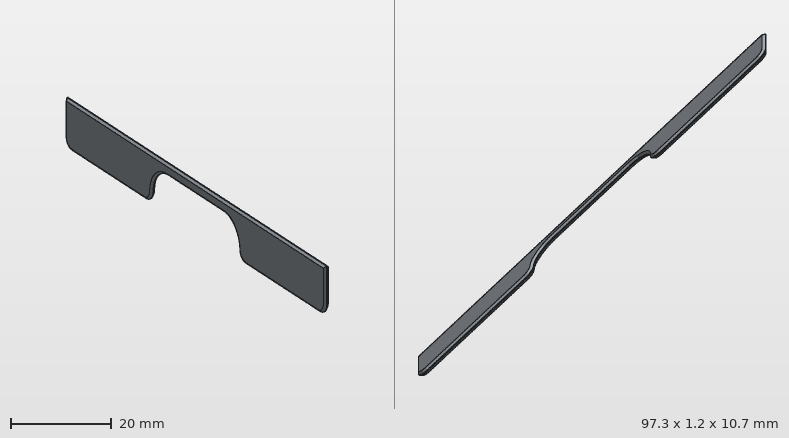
import cadquery as cq
import math

length = 97.3
thickness = 1.2
height = 10.7
edge_chamfer = 0.5
corner_radius = 2.4

bridge_height = 2.5
relief_bottom_width = 33.3
wall_slant = 5.0
relief_radius = 5.8

relief_depth = height - bridge_height
relief_top_width = relief_bottom_width - 2 * relief_depth * math.tan(math.radians(wall_slant))
bottom_z = -height / 2
relief_z = bottom_z + relief_depth


def plate_blank():
    """Sharp-cornered plate, centred on the origin."""
    return cq.Workplane("XY").box(length, thickness, height)


def relief_cutter():
    """Trapezoidal prism that opens the middle of the lower edge."""
    outline = [
        (-relief_bottom_width / 2, bottom_z),
        (-relief_top_width / 2, relief_z),
        (relief_top_width / 2, relief_z),
        (relief_bottom_width / 2, bottom_z),
    ]
    return cq.Workplane("XZ").polyline(outline).close().extrude(thickness, both=True)


plate = plate_blank().cut(relief_cutter())

plate = plate.faces("<Z").edges("|Y").fillet(corner_radius)
relief_roof = cq.selectors.NearestToPointSelector((0, 0, relief_z))
plate = plate.faces(relief_roof).edges("|Y").fillet(relief_radius)

result = plate.faces("<Y or >Y").chamfer(edge_chamfer)